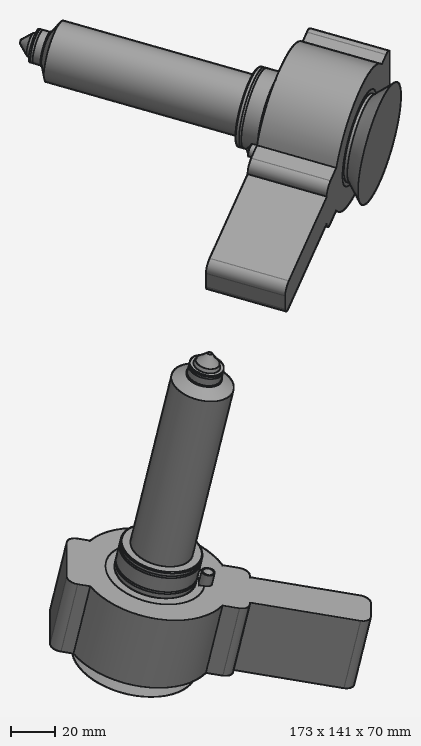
import cadquery as cq


overall_length = 173.0
lever_front_x = 125.0
lever_thickness = 38.2
lever_rear_x = lever_front_x + lever_thickness

hub_diameter = 70.0
corner_radius = 5.0
heel_reach = 41.0
heel_width = 36.0
shoulder_reach = 44.0
shoulder_width = 31.8
arm_reach = 100.0
arm_width = 20.0

plug_diameter = 46.0
neck_diameter = 42.0
flare_diameter = 58.1
flare_length = (flare_diameter - neck_diameter) / 2
flare_start_x = overall_length - flare_length

pin_diameter = 6.0
pin_offset = 23.4
pin_tip_x = 117.1
pin_point_diameter = 5.0
pin_point_length = 1.9
pin_depth = 8.6
notch_floor_radius = 20.2

shaft_diameter = 29.0
shaft_lip_diameter = 16.6
shaft_face_x = 12.5
shaft_lip_length = 0.5
shaft_taper_end_x = 16.5

seal_section = 1.12

collar_diameter = 38.0
collar_front_x = 110.0
collar_length = lever_front_x - collar_front_x
collar_chamfer = 0.5
collar_seal_setback = 2.6
collar_seal_spacing = 9.0
front_seal_x = collar_front_x + collar_seal_setback
collar_seal_centers = (front_seal_x, front_seal_x + collar_seal_spacing)

tip_diameter = 2.0
tip_cone_diameter = 11.0
tip_cone_length = 4.8
tip_base_diameter = 12.5
head_diameter = 16.0
head_front_x = 6.7
shank_depth = 8.6
nozzle_seal_x = 8.1


def cylinder(diameter, start_x, length):
    """Solid cylinder on the X axis."""
    return cq.Workplane("YZ", origin=(start_x, 0, 0)).circle(diameter / 2).extrude(length)


def revolve_profile(points):
    """Turn (x, radius) points, closed along the X axis, into a solid of revolution."""
    return cq.Workplane("XY").polyline(points).close().revolve(360, (0, 0, 0), (1, 0, 0))


def make_seal(outer_diameter, center_x):
    """Square-section ring whose outside is flush with the outer diameter."""
    start_x = center_x - seal_section / 2
    core = cylinder(outer_diameter - 2 * seal_section, start_x, seal_section)
    return cylinder(outer_diameter, start_x, seal_section).cut(core)


def lever_block(y_start, y_end, width):
    """Block of the lever plate between two Y stations, centred on Z = 0."""
    block = cq.Workplane("XY").box(lever_thickness, y_end - y_start, width, centered=(False, False, True))
    return block.translate((lever_front_x, y_start, 0))


def pin_cylinder(start_x, length):
    """Full-diameter cylinder on the pin axis."""
    return cylinder(pin_diameter, start_x, length).translate((0, -pin_offset, 0))


def make_lever():
    heel = lever_block(0, heel_reach, heel_width).edges("|X and >Y").fillet(corner_radius)
    shoulder = lever_block(-shoulder_reach, 0, shoulder_width).edges("|X and <Y").fillet(corner_radius)
    arm = lever_block(-arm_reach, 0, arm_width).edges("|X and <Y").fillet(corner_radius)
    plate = cylinder(hub_diameter, lever_front_x, lever_thickness).union(heel).union(shoulder).union(arm)
    plate = plate.cut(cylinder(plug_diameter, lever_front_x, lever_thickness))
    return plate.cut(pin_cylinder(lever_front_x, pin_depth))


def make_plug():
    plug = revolve_profile([
        (lever_front_x, 0),
        (lever_front_x, plug_diameter / 2),
        (lever_rear_x, plug_diameter / 2),
        (lever_rear_x, neck_diameter / 2),
        (flare_start_x, neck_diameter / 2),
        (overall_length, flare_diameter / 2),
        (overall_length, 0),
    ])
    notch = (
        cq.Workplane("XY")
        .box(pin_depth, plug_diameter / 2 - notch_floor_radius, pin_diameter, centered=(False, False, True))
        .translate((lever_front_x, -plug_diameter / 2, 0))
    )
    return plug.cut(notch)


def make_pin():
    point_base_x = pin_tip_x + pin_point_length
    end_x = lever_front_x + pin_depth
    return revolve_profile([
        (pin_tip_x, 0),
        (point_base_x, pin_point_diameter / 2),
        (point_base_x, pin_diameter / 2),
        (end_x, pin_diameter / 2),
        (end_x, 0),
    ]).translate((0, -pin_offset, 0))


def make_shaft():
    shaft = revolve_profile([
        (shaft_face_x, 0),
        (shaft_face_x, shaft_lip_diameter / 2),
        (shaft_face_x + shaft_lip_length, shaft_lip_diameter / 2),
        (shaft_taper_end_x, shaft_diameter / 2),
        (lever_front_x, shaft_diameter / 2),
        (lever_front_x, 0),
    ])
    return shaft.cut(cylinder(head_diameter, shaft_face_x, shank_depth))


def make_collar():
    collar = cylinder(collar_diameter, collar_front_x, collar_length).edges().chamfer(collar_chamfer)
    collar = collar.cut(cylinder(shaft_diameter, collar_front_x, collar_length))
    for center_x in collar_seal_centers:
        collar = collar.cut(make_seal(collar_diameter, center_x))
    return collar


def make_nozzle():
    end_x = shaft_face_x + shank_depth
    nozzle = revolve_profile([
        (0, 0),
        (0, tip_diameter / 2),
        (tip_cone_length, tip_cone_diameter / 2),
        (head_front_x, tip_base_diameter / 2),
        (head_front_x, head_diameter / 2),
        (end_x, head_diameter / 2),
        (end_x, 0),
    ])
    return nozzle.cut(make_seal(head_diameter, nozzle_seal_x))


lever = make_lever()
plug = make_plug()
pin = make_pin()
shaft = make_shaft()
collar = make_collar()
collar_seals = [make_seal(collar_diameter, x) for x in collar_seal_centers]
nozzle = make_nozzle()
nozzle_seal = make_seal(head_diameter, nozzle_seal_x)

result = cq.Compound.makeCompound([
    lever.val(),
    plug.val(),
    pin.val(),
    shaft.val(),
    collar.val(),
    *[seal.val() for seal in collar_seals],
    nozzle.val(),
    nozzle_seal.val(),
])